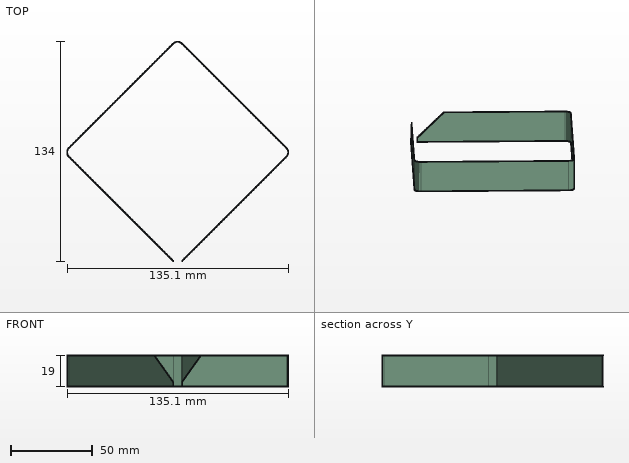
import cadquery as cq
import math

tip_span = 135.1
height = 19.0
thickness = 0.04
corner_radius = 3.8
end_height = 2.7
bevel_reach = 11.6

half_span = tip_span / 2
center_offset = half_span - corner_radius
tangent_offset = corner_radius * math.sin(math.radians(45))
side_length = math.sqrt(2) * center_offset + 2 * corner_radius


def make_hoop():
    """Closed square hoop with its corners on the X and Y axes."""
    outer = cq.Workplane("XY").rect(side_length, side_length).extrude(height)
    outer = outer.edges("|Z").fillet(corner_radius)
    inner_length = side_length - 2 * thickness
    inner = cq.Workplane("XY").rect(inner_length, inner_length).extrude(height)
    inner = inner.edges("|Z").fillet(corner_radius - thickness)
    return outer.cut(inner).rotate((0, 0, 0), (0, 0, 1), 45)


def make_front_opening():
    """Cutter that removes the front corner and slopes both free ends."""
    profile = [
        (-tangent_offset, 0),
        (tangent_offset, 0),
        (tangent_offset, end_height),
        (tangent_offset + bevel_reach, height),
        (-tangent_offset - bevel_reach, height),
        (-tangent_offset, end_height),
    ]
    return cq.Workplane("XZ").polyline(profile).close().extrude(tip_span)


result = make_hoop().cut(make_front_opening())